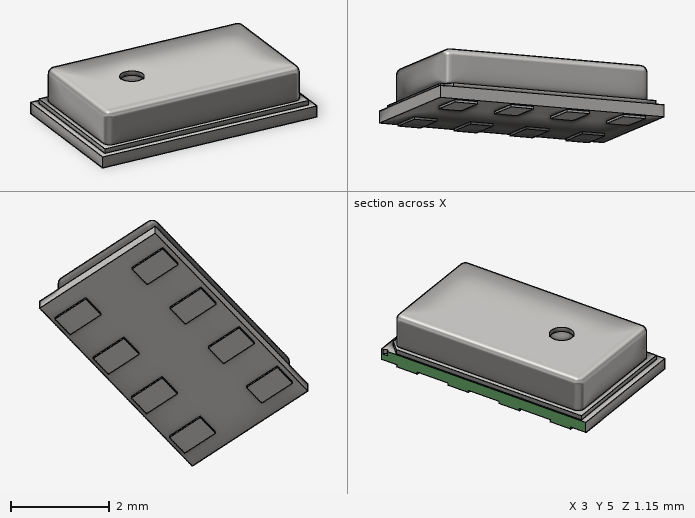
import cadquery as cq

board_width = 3.0
board_length = 5.0
board_thickness = 0.25

pad_width = 0.8
pad_length = 0.5
pad_thickness = 0.05
pad_side_margin = 0.1
pad_pitch = 1.25
pads_per_column = 4

seat_margin = 0.125
seat_thickness = 0.1
seat_corner_cut = 0.225

total_height = 1.15
lid_width = 2.55
lid_length = 4.55
lid_radius = 0.15

port_diameter = 0.5
port_y = -0.975
port_depth = 0.1

mark_diameter = 0.1
mark_inset = 0.1
mark_depth = 0.1

board_top = pad_thickness + board_thickness
seat_top = board_top + seat_thickness
lid_height = total_height - seat_top


def block(width, length, height, base):
    """Box centred on the Z axis, standing on the level `base`."""
    box = cq.Workplane("XY").box(width, length, height, centered=(True, True, False))
    return box.translate((0, 0, base))


def make_pads():
    column_spacing = board_width - 2 * pad_side_margin - pad_width
    return (
        cq.Workplane("XY")
        .rarray(column_spacing, pad_pitch, 2, pads_per_column)
        .rect(pad_width, pad_length)
        .extrude(pad_thickness)
    )


def make_board():
    board = block(board_width, board_length, board_thickness, pad_thickness)
    mark = (
        cq.Workplane("XY")
        .center(mark_inset - board_width / 2, board_length / 2 - mark_inset)
        .circle(mark_diameter / 2)
        .extrude(mark_depth)
        .translate((0, 0, board_top - mark_depth))
    )
    return board.cut(mark)


def make_seat():
    seat = block(board_width - 2 * seat_margin, board_length - 2 * seat_margin, seat_thickness, board_top)
    return seat.edges("|Z").edges("<X").edges(">Y").chamfer(seat_corner_cut)


def make_lid():
    lid = block(lid_width, lid_length, lid_height, seat_top)
    lid = lid.edges("|Z or >Z").fillet(lid_radius)
    port = (
        cq.Workplane("XY")
        .center(0, port_y)
        .circle(port_diameter / 2)
        .extrude(port_depth)
        .translate((0, 0, total_height - port_depth))
    )
    return lid.cut(port)


result = make_board().union(make_pads()).union(make_seat()).union(make_lid())